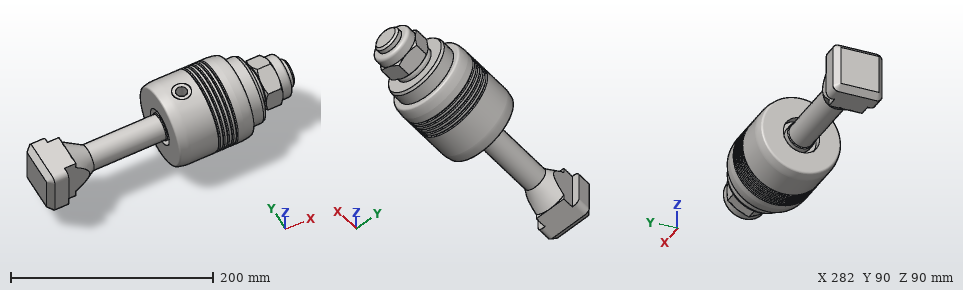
import cadquery as cq
import math

OVERALL_LENGTH = 282.0

HEAD_SIZE = 54.0
HEAD_THICKNESS = 21.7
HEAD_CORNER_RADIUS = 6.5
HEAD_CHAMFER = 6.2
NECK_WIDTH = 36.0
NECK_END = 34.5
CONE_END = 57.0
SHANK_RADIUS = 28.0 / 2
THREAD_RADIUS = 15.0
THREAD_START = 137.3
THREAD_LEAD_IN = 1.0
TIP_CHAMFER = 2.3

HOUSING_START = 138.0
HOUSING_END = 221.0
HOUSING_RADIUS = 90.0 / 2
CROWN_LENGTH = 11.8
CROWN_DROP = 2.3
RIM_FILLET = 2.3
BORE_RADIUS = 19.7
GROOVE_COUNT = 5
FIRST_GROOVE = 180.0
LAST_GROOVE = 199.7
GROOVE_WIDTH = 2.2
GROOVE_DEPTH = 1.0
GROOVE_PITCH = (LAST_GROOVE - FIRST_GROOVE) / (GROOVE_COUNT - 1)
PORT_X = 162.2
PORT_RADIUS = 6.0
PORT_DEPTH = 17.0
PORT_SEAT_RADIUS = 10.0

PISTON_START = 146.5
RING_END = 238.0
RING_RADIUS = 36.0
RING_CHAMFER_LENGTH = 3.0
RING_CHAMFER_DROP = 1.5
COLLAR_RADIUS = 43.1 / 2
COLLAR_TAPER_START = 240.5
COLLAR_END_RADIUS = 20.5

NUT_START = 244.8
HEX_END = 263.7
NUT_END = 275.0
HEX_SIDES = 6
ACROSS_FLATS = 46.2
CORNER_CHAMFER_ANGLE = 30.0
NUT_FILLET = 3.7


def cylinder(start, end, radius):
    """Cylinder along the X axis."""
    return cq.Workplane("YZ", origin=(start, 0, 0)).circle(radius).extrude(end - start)


def revolved(profile):
    """Turn a closed profile of (x, radius) about the X axis."""
    return profile.close().revolve(360, (0, 0, 0), (1, 0, 0))


def neck_block(start, end):
    """Rectangular block with the cross-section of the neck."""
    return cq.Workplane("YZ", origin=(start, 0, 0)).rect(NECK_WIDTH, HEAD_SIZE).extrude(end - start)


def make_bolt():
    head = (
        cq.Workplane("YZ")
        .rect(HEAD_SIZE, HEAD_SIZE)
        .extrude(HEAD_THICKNESS)
        .edges("|X")
        .fillet(HEAD_CORNER_RADIUS)
        .faces("<X")
        .chamfer(HEAD_CHAMFER)
    )
    neck = neck_block(HEAD_CHAMFER, NECK_END)
    cone = revolved(
        cq.Workplane("XY")
        .moveTo(NECK_END, 0)
        .lineTo(NECK_END, HEAD_SIZE / 2)
        .lineTo(CONE_END, SHANK_RADIUS)
        .lineTo(CONE_END, 0)
    )
    shoulder = cone.intersect(neck_block(NECK_END, CONE_END))
    shank = cylinder(CONE_END, THREAD_START, SHANK_RADIUS)
    thread = cylinder(THREAD_START, OVERALL_LENGTH, THREAD_RADIUS)
    thread = thread.faces("<X").chamfer(THREAD_LEAD_IN).faces(">X").chamfer(TIP_CHAMFER)
    return head.union(neck).union(shoulder).union(shank).union(thread)


def crown_point(end, inward):
    """Middle point of the crown arc, which is tangent to the barrel."""
    arc_radius = (CROWN_LENGTH**2 + CROWN_DROP**2) / (2 * CROWN_DROP)
    half_angle = math.asin(CROWN_LENGTH / arc_radius) / 2
    x = end + inward * (CROWN_LENGTH - arc_radius * math.sin(half_angle))
    return (x, HOUSING_RADIUS - arc_radius * (1 - math.cos(half_angle)))


def make_barrel():
    """Barrel whose ends curve in smoothly and are rounded at the rim."""
    crown_radius = HOUSING_RADIUS - CROWN_DROP
    barrel = revolved(
        cq.Workplane("XY")
        .moveTo(HOUSING_START, 0)
        .lineTo(HOUSING_START, crown_radius)
        .threePointArc(
            crown_point(HOUSING_START, 1),
            (HOUSING_START + CROWN_LENGTH, HOUSING_RADIUS),
        )
        .lineTo(HOUSING_END - CROWN_LENGTH, HOUSING_RADIUS)
        .threePointArc(crown_point(HOUSING_END, -1), (HOUSING_END, crown_radius))
        .lineTo(HOUSING_END, 0)
    )
    return barrel.faces("<X or >X").edges().fillet(RIM_FILLET)


def make_groove(start):
    """Ring-shaped V groove cutter."""
    return revolved(
        cq.Workplane("XY")
        .moveTo(start, HOUSING_RADIUS)
        .lineTo(start + GROOVE_WIDTH / 2, HOUSING_RADIUS - GROOVE_DEPTH)
        .lineTo(start + GROOVE_WIDTH, HOUSING_RADIUS)
    )


def make_port():
    """Cutter for a blind oil port with a flat seat that just clears the barrel's curve."""
    seat_height = math.sqrt(HOUSING_RADIUS**2 - PORT_SEAT_RADIUS**2)
    seat = (
        cq.Workplane("XY", origin=(PORT_X, 0, seat_height))
        .circle(PORT_SEAT_RADIUS)
        .extrude(HOUSING_RADIUS - seat_height)
    )
    hole = (
        cq.Workplane("XY", origin=(PORT_X, 0, HOUSING_RADIUS - PORT_DEPTH))
        .circle(PORT_RADIUS)
        .extrude(PORT_DEPTH)
    )
    return seat.union(hole)


def make_housing():
    housing = make_barrel()
    for index in range(GROOVE_COUNT):
        housing = housing.cut(make_groove(FIRST_GROOVE + index * GROOVE_PITCH))
    housing = housing.cut(make_port())
    return housing.cut(cylinder(HOUSING_START, HOUSING_END, BORE_RADIUS))


def make_piston():
    return revolved(
        cq.Workplane("XY")
        .moveTo(PISTON_START, THREAD_RADIUS)
        .lineTo(PISTON_START, BORE_RADIUS)
        .lineTo(HOUSING_END, BORE_RADIUS)
        .lineTo(HOUSING_END, RING_RADIUS)
        .lineTo(RING_END - RING_CHAMFER_LENGTH, RING_RADIUS)
        .lineTo(RING_END, RING_RADIUS - RING_CHAMFER_DROP)
        .lineTo(RING_END, COLLAR_RADIUS)
        .lineTo(COLLAR_TAPER_START, COLLAR_RADIUS)
        .lineTo(NUT_START, COLLAR_END_RADIUS)
        .lineTo(NUT_START, THREAD_RADIUS)
    )


def make_nut():
    flat_radius = ACROSS_FLATS / 2
    corner_radius = flat_radius / math.cos(math.pi / HEX_SIDES)
    chamfer_length = (corner_radius - flat_radius) * math.tan(math.radians(CORNER_CHAMFER_ANGLE))
    hexagon = (
        cq.Workplane("YZ", origin=(NUT_START, 0, 0))
        .transformed(rotate=(0, 0, 90))
        .polygon(HEX_SIDES, 2 * corner_radius)
        .extrude(HEX_END - NUT_START)
    )
    corner_limit = revolved(
        cq.Workplane("XY")
        .moveTo(NUT_START, 0)
        .lineTo(NUT_START, flat_radius)
        .lineTo(NUT_START + chamfer_length, corner_radius)
        .lineTo(HEX_END - chamfer_length, corner_radius)
        .lineTo(HEX_END, flat_radius)
        .lineTo(HEX_END, 0)
    )
    collar = cylinder(HEX_END, NUT_END, flat_radius).faces(">X").edges().fillet(NUT_FILLET)
    bore = cylinder(NUT_START, NUT_END, THREAD_RADIUS)
    return hexagon.intersect(corner_limit).union(collar).cut(bore)


bolt = make_bolt()
housing = make_housing()
piston = make_piston()
nut = make_nut()

result = cq.Compound.makeCompound([body.solids().val() for body in (bolt, housing, piston, nut)])